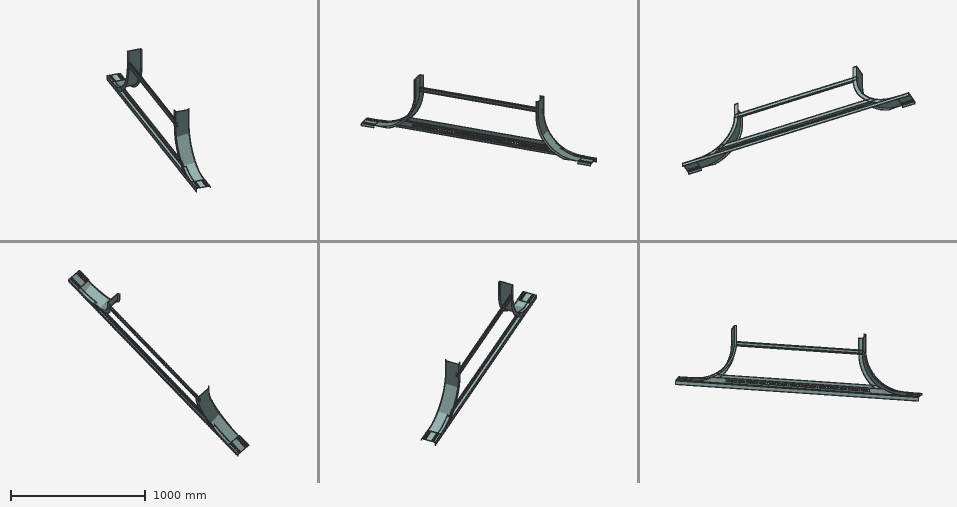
import cadquery as cq


length = 1850.0
quarter_turn = 90.0
sheet = 2.0
top_z = 456.2
middle_x = length / 2

bend_radius = 300.0
bend_depth = 112.0
bend_flange = 30.0
bend_start_x = 103.0
bend_centre_x = 125.0
upright_leg = 125.0
web_outer_radius = bend_radius + sheet
bend_centre_z = top_z - upright_leg

rail_top_z = bend_centre_z - web_outer_radius
ledge_depth = 26.0

bend_lip_start_y = 105.0
lip_drop = 15.0

rung_height = 30.0
rung_depth = 15.0
rung_front_y = 6.0
rung_lip = 6.0
rung_bottom_z = bend_centre_z - sheet

wall_top_z = 69.0
band_front_y = rung_front_y
band_top_z = 97.0

wall_slot_count = 55
wall_slot_pitch = 20.0
wall_slot_width = 10.0
wall_slot_height = 15.0
wall_slot_z = 49.0

tab_depth = 115.0
tab_lip_start_y = 107.0
tab_slot_count = 5
tab_slot_pitch = 18.2
tab_slots_middle_x = 52.0
tab_slot_width = 9.0
tab_slot_length = 16.0
tab_slot_rows_y = (24.0, 88.0)


def box(x0, x1, y0, y1, z0, z1):
    """Block between two corners."""
    return cq.Workplane("XY").box(x1 - x0, y1 - y0, z1 - z0, centered=False).translate((x0, y0, z0))


def mirrored(body):
    """The same body at the other end of the part."""
    return body.mirror("YZ", (middle_x, 0, 0))


def lipped_profile(front_drop, lip_start_y, lip_end_y):
    """Rail section as (y, drop) points: front flange, web, and a lip that slopes away at the back.

    The drop is measured from the outer face of the web.
    """
    return [
        (0, 0),
        (lip_start_y, 0),
        (lip_end_y, lip_drop),
        (lip_end_y - sheet, lip_drop),
        (lip_start_y - sheet, sheet),
        (sheet, sheet),
        (sheet, front_drop),
        (0, front_drop),
    ]


def make_bend():
    """Curved rail with its hollow side towards the end of the part, cut level with the straight rail."""
    profile = lipped_profile(bend_flange, bend_lip_start_y, bend_depth)
    hanging_profile = [(y, -drop) for y, drop in profile]
    foot_z = bend_centre_z - bend_radius
    foot = (
        cq.Workplane("YZ", origin=(bend_start_x, 0, foot_z))
        .polyline(hanging_profile)
        .close()
        .extrude(bend_centre_x - bend_start_x)
    )
    curve = (
        cq.Workplane("YZ", origin=(bend_centre_x, 0, foot_z))
        .polyline(hanging_profile)
        .close()
        .revolve(quarter_turn, (0, bend_radius, 0), (-1, bend_radius, 0))
    )
    upright = (
        cq.Workplane("XY", origin=(bend_centre_x + bend_radius, 0, bend_centre_z))
        .polyline([(drop, y) for y, drop in profile])
        .close()
        .extrude(upright_leg)
    )
    below_rail_top = box(0, length, 0, bend_depth, 0, rail_top_z)
    return foot.union(curve).union(upright).cut(below_rail_top)


def make_rung():
    left = bend_centre_x + web_outer_radius
    right = length - left
    back = rung_front_y + rung_depth
    inner_back = back - sheet
    bottom = rung_bottom_z
    top = bottom + rung_height
    hollow = box(left, right, rung_front_y + sheet, inner_back, bottom + sheet, top - sheet)
    opening = box(left, right, inner_back, back, bottom + rung_lip, top - rung_lip)
    return box(left, right, rung_front_y, back, bottom, top).cut(hollow).cut(opening)


def make_slotted_wall():
    """Wall and band between the curved rails, ending against their webs."""
    left = bend_centre_x
    right = length - left
    step_z = wall_top_z - sheet
    wall = box(left, right, ledge_depth - sheet, ledge_depth, rail_top_z - sheet, wall_top_z)
    step = box(left, right, band_front_y, ledge_depth, step_z, wall_top_z)
    band = box(left, right, band_front_y, band_front_y + sheet, step_z, band_top_z)
    slots = (
        cq.Workplane("XZ", origin=(middle_x, 0, wall_slot_z))
        .rarray(wall_slot_pitch, 1, wall_slot_count, 1)
        .rect(wall_slot_width, wall_slot_height)
        .extrude(-ledge_depth)
    )
    inside_bend = (
        cq.Workplane("XZ", origin=(bend_centre_x, 0, bend_centre_z))
        .circle(web_outer_radius)
        .extrude(-ledge_depth)
    )
    return wall.union(step).union(band).cut(slots).cut(inside_bend).cut(mirrored(inside_bend))


def make_tab():
    """Slotted end of the straight rail, as wide as the ladder that it couples to."""
    profile = lipped_profile(rail_top_z, tab_lip_start_y, tab_depth)
    tab = (
        cq.Workplane("YZ")
        .polyline([(y, rail_top_z - drop) for y, drop in profile])
        .close()
        .extrude(bend_start_x)
    )
    for row_y in tab_slot_rows_y:
        slots = (
            cq.Workplane("XY", origin=(tab_slots_middle_x, row_y, 0))
            .rarray(tab_slot_pitch, 1, tab_slot_count, 1)
            .rect(tab_slot_width, tab_slot_length)
            .extrude(rail_top_z)
        )
        tab = tab.cut(slots)
    return tab


def make_straight_rail():
    flange = box(0, length, 0, sheet, 0, rail_top_z)
    ledge = box(bend_start_x, length - bend_start_x, 0, ledge_depth, rail_top_z - sheet, rail_top_z)
    tab = make_tab()
    return flange.union(ledge).union(tab).union(mirrored(tab)).union(make_slotted_wall())


left_bend = make_bend()
right_bend = mirrored(left_bend)
rung = make_rung()
straight_rail = make_straight_rail()

result = cq.Compound.makeCompound([left_bend.val(), right_bend.val(), rung.val(), straight_rail.val()])